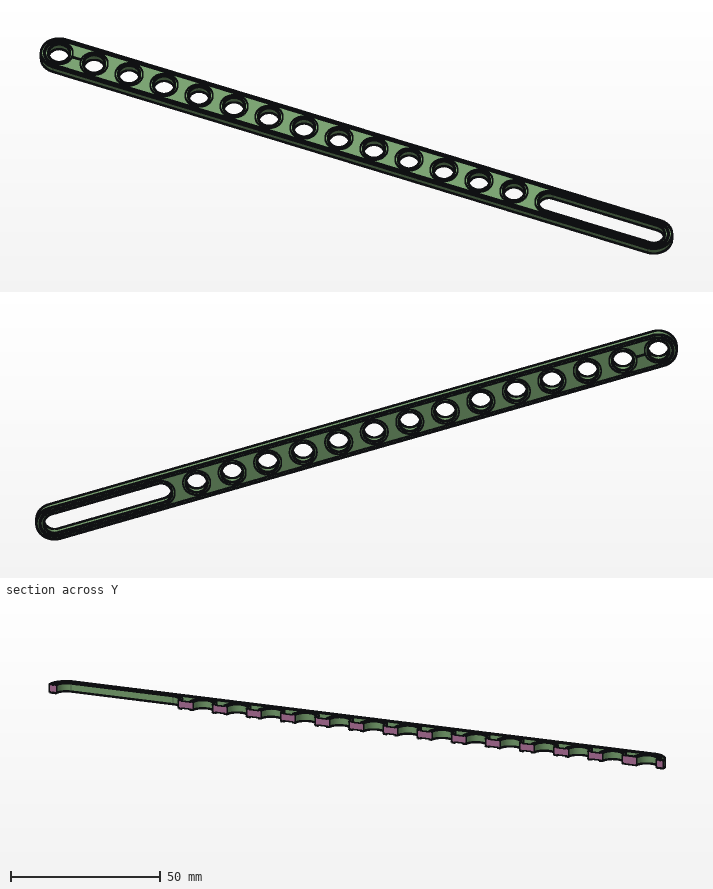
import cadquery as cq

LENGTH = 225.0
PITCH_COUNT = 18
PITCH = LENGTH / PITCH_COUNT
WIDTH = PITCH
THICKNESS = 3.2

HOLE_COUNT = 14
HOLE_DIAMETER = 7.0
HOLE_CENTERS = [((1 - PITCH_COUNT) / 2 + index) * PITCH for index in range(HOLE_COUNT)]
SLOT_START_X = HOLE_CENTERS[-1] + PITCH
SLOT_END_X = (LENGTH - PITCH) / 2

COLLAR_DIAMETER = 9.2
LEDGE_WIDTH = 0.32
RIDGE_HEIGHT = 0.25
RIDGE_INNER_INSET = (COLLAR_DIAMETER - HOLE_DIAMETER) / 2
BASE_THICKNESS = THICKNESS - 2 * RIDGE_HEIGHT

RIB_WIDTH = 0.2


def make_perforated_plate(thickness, inset):
    """Round-ended plate with all openings, every edge moved into the material by the inset."""
    opening_diameter = HOLE_DIAMETER + 2 * inset
    slot_length = SLOT_END_X - SLOT_START_X + opening_diameter
    slot_center_x = (SLOT_START_X + SLOT_END_X) / 2

    base_plane = cq.Workplane("XY", origin=(0, 0, -thickness / 2))
    plate = base_plane.slot2D(LENGTH - 2 * inset, WIDTH - 2 * inset).extrude(thickness)
    hole_points = [(x, 0) for x in HOLE_CENTERS]
    holes = base_plane.pushPoints(hole_points).circle(opening_diameter / 2).extrude(thickness)
    slot = base_plane.center(slot_center_x, 0).slot2D(slot_length, opening_diameter).extrude(thickness)
    return plate.cut(holes).cut(slot)


def make_ridges():
    """Full-height bands that stand proud of the base plate on both faces."""
    outer_edges = make_perforated_plate(THICKNESS, LEDGE_WIDTH)
    inner_edges = make_perforated_plate(THICKNESS, RIDGE_INNER_INSET)
    return outer_edges.cut(inner_edges)


def make_rib():
    """Full-height rib whose ends sink into the collars of the first two holes."""
    rib_length = PITCH - HOLE_DIAMETER - RIDGE_INNER_INSET
    rib_center_x = (HOLE_CENTERS[0] + HOLE_CENTERS[1]) / 2
    return cq.Workplane("XY", origin=(rib_center_x, 0, 0)).box(rib_length, RIB_WIDTH, THICKNESS)


base_plate = make_perforated_plate(BASE_THICKNESS, 0)
result = base_plate.union(make_ridges()).union(make_rib())